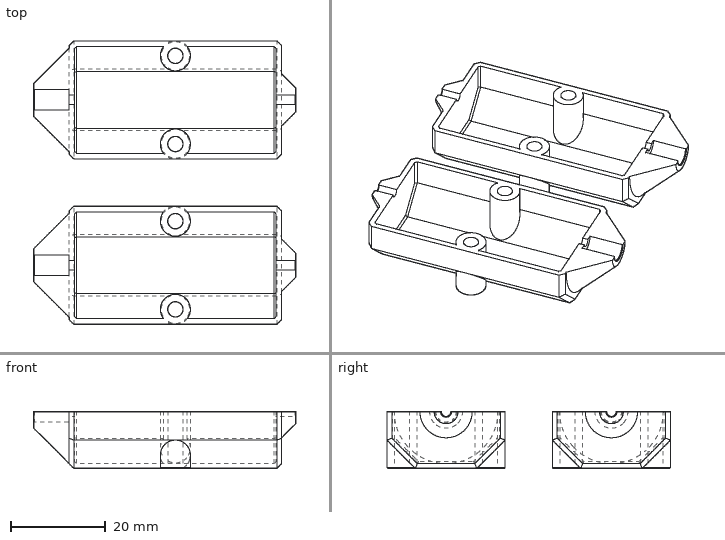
import cadquery as cq

LENGTH = 45.0
TOTAL_WIDTH = 60.0
TRAY_GAP = 9.95
WIDTH = (TOTAL_WIDTH - TRAY_GAP) / 2
HEIGHT = 12.0
WALL = 1.2
FLOOR = 1.0
BOTTOM_BEVEL = HEIGHT / 2
END_CHAMFER = 1.0
TRAY_PITCH = WIDTH + TRAY_GAP

CAVITY_LENGTH = LENGTH - 2 * WALL
CAVITY_WIDTH = WIDTH - 2 * WALL
CAVITY_DEPTH = HEIGHT - FLOOR
CAVITY_FLOOR_WIDTH = 12.0
CAVITY_BEVEL = (CAVITY_WIDTH - CAVITY_FLOOR_WIDTH) / 2
CAVITY_END_CHAMFER = 0.4

LEFT_NOSE_LENGTH = 7.5
LEFT_NOSE_TIP_RADIUS = 3.5
RIGHT_NOSE_LENGTH = 3.0
RIGHT_NOSE_TIP_RADIUS = 2.5

CORD_GROOVE_DIAMETER = 4.3
CORD_GROOVE_LENGTH = LEFT_NOSE_LENGTH
WIRE_GROOVE_DIAMETER = 2.0
MOUTH_CHAMFER = 0.2

BOSS_DIAMETER = 6.35
BOSS_HOLE_DIAMETER = 3.2
BOSS_CHAMFER = 0.2
BOSS_X = 0.0
BOSS_Y = (WIDTH - BOSS_DIAMETER) / 2

LEFT_TIP_X = -LENGTH / 2 - LEFT_NOSE_LENGTH
RIGHT_TIP_X = LENGTH / 2 + RIGHT_NOSE_LENGTH


def trough(length, width, depth, bevel, end_chamfer):
    """Solid prism with bevelled lower edges, chamfered ends and its flat top at HEIGHT."""
    bottom = HEIGHT - depth
    half_width = width / 2
    profile = [
        (-half_width, HEIGHT),
        (-half_width, bottom + bevel),
        (-half_width + bevel, bottom),
        (half_width - bevel, bottom),
        (half_width, bottom + bevel),
        (half_width, HEIGHT),
    ]
    prism = cq.Workplane("YZ").polyline(profile).close().extrude(length / 2, both=True)
    end_edges = prism.faces("<X or >X").edges("not(>Z)")
    return end_edges.chamfer(end_chamfer)


def half_cone(end_x, tip_x, tip_radius):
    """Lower half of a 45 degree cone that widens from tip_x to the shell end at end_x."""
    base_radius = tip_radius + abs(tip_x - end_x)
    half_profile = [
        (tip_x, HEIGHT),
        (tip_x, HEIGHT - tip_radius),
        (end_x, HEIGHT - base_radius),
        (end_x, HEIGHT),
    ]
    cone = (
        cq.Workplane("XZ")
        .polyline(half_profile)
        .close()
        .revolve(360, (0, HEIGHT, 0), (1, HEIGHT, 0))
    )
    lower_half = cq.Workplane("XY").box(
        2 * LENGTH, 2 * WIDTH, HEIGHT, centered=(True, True, False)
    )
    return cone.intersect(lower_half)


def groove_cutter(start_x, end_x, diameter):
    """Cylinder along X on the nose axis."""
    return (
        cq.Workplane("YZ", origin=(start_x, 0, HEIGHT))
        .circle(diameter / 2)
        .extrude(end_x - start_x)
    )


def mouth_flare(tip_x, inward, diameter):
    """45 degree cone that chamfers a groove mouth; inward is the X direction into the nose."""
    radius = diameter / 2
    flare = cq.Solid.makeCone(
        radius + MOUTH_CHAMFER,
        radius,
        MOUTH_CHAMFER,
        pnt=cq.Vector(tip_x, 0, HEIGHT),
        dir=cq.Vector(inward, 0, 0),
    )
    return cq.Workplane(flare)


def boss_cylinders(diameter):
    """Pair of full-height upright cylinders at the boss positions."""
    positions = [(BOSS_X, -BOSS_Y), (BOSS_X, BOSS_Y)]
    return cq.Workplane("XY").pushPoints(positions).circle(diameter / 2).extrude(HEIGHT)


def make_tray(center_y):
    shell = trough(LENGTH, WIDTH, HEIGHT, BOTTOM_BEVEL, END_CHAMFER)
    left_nose = half_cone(-LENGTH / 2, LEFT_TIP_X, LEFT_NOSE_TIP_RADIUS)
    right_nose = half_cone(LENGTH / 2, RIGHT_TIP_X, RIGHT_NOSE_TIP_RADIUS)
    cavity = trough(
        CAVITY_LENGTH, CAVITY_WIDTH, CAVITY_DEPTH, CAVITY_BEVEL, CAVITY_END_CHAMFER
    )
    cord_groove = groove_cutter(
        LEFT_TIP_X, LEFT_TIP_X + CORD_GROOVE_LENGTH, CORD_GROOVE_DIAMETER
    )

    wire_groove = groove_cutter(LEFT_TIP_X, RIGHT_TIP_X, WIRE_GROOVE_DIAMETER)

    tray = shell.union(left_nose).union(right_nose).cut(cavity)
    tray = tray.cut(cord_groove).cut(wire_groove)
    tray = tray.cut(mouth_flare(LEFT_TIP_X, 1, CORD_GROOVE_DIAMETER))
    tray = tray.cut(mouth_flare(RIGHT_TIP_X, -1, WIRE_GROOVE_DIAMETER))
    bosses = boss_cylinders(BOSS_DIAMETER).faces("<Z").edges().chamfer(BOSS_CHAMFER)
    tray = tray.union(bosses)
    tray = tray.cut(boss_cylinders(BOSS_HOLE_DIAMETER))
    return tray.translate((0, center_y, 0))


trays = [make_tray(side * TRAY_PITCH / 2) for side in (-1, 1)]

result = cq.Compound.makeCompound([tray.val() for tray in trays])